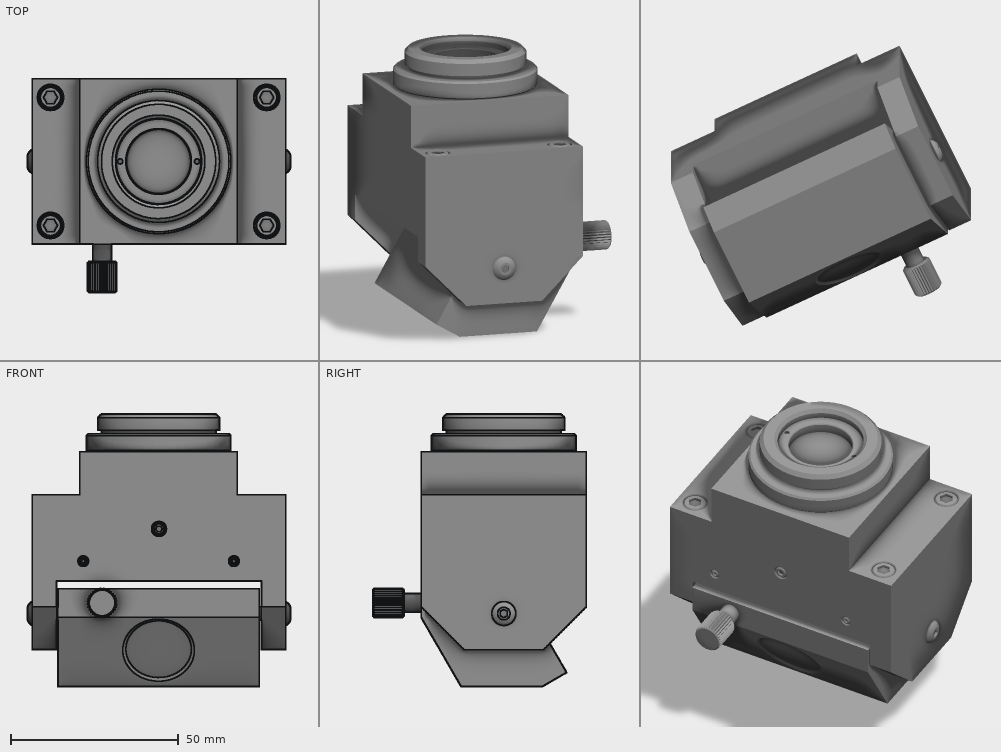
import cadquery as cq
import math


housing_width = 75.7
housing_depth = 49.35
housing_shift = 0.12
housing_bottom = 11.1
shoulder_height = 57.3
tower_width = 47.1
tower_top = 70.1
corner_cut = 12.8
slot_width = 61.1
slot_top = 31.5
front_y = -housing_depth / 2

mount_top = 81.4
flange_diameter = 43.15
flange_top = 75.5
flange_bevel = 0.6
flange_lower_bevel = 0.4
neck_diameter = 34.3
rim_diameter = 36.4
rim_bottom = 76.55
rim_bevel = 1.1
mount_bore = 25.7
mount_bore_bevel = 1.0
mount_bore_depth = 2.5
ring_edge_bevel = 0.25
window_bore = 19.1
window_bore_bevel = 0.25
window_depth = 5.5
spanner_hole_diameter = 1.55
spanner_hole_depth = 0.8
spanner_hole_radius = 11.5

screw_spacing_x = 64.5
screw_spacing_y = 38.2
middle_screw_height = 47.1
outer_screw_height = 37.45
outer_screw_spacing = 44.95
cap_screw = dict(hole=7.2, hole_bevel=0.3, head=7.0, head_bevel=0.5, socket=3.7, depth=0.8)
middle_screw = dict(hole=4.0, hole_bevel=0.25, head=3.8, head_bevel=0.4, socket=1.7, depth=0.8)
outer_screw = dict(hole=2.85, hole_bevel=0.2, head=2.6, head_bevel=0.3, socket=1.05, depth=0.8)

block_width = 60.1
block_top = 29.2
block_front_edge = 20.7
block_slope = math.radians(60)
block_thickness = 29.4
block_flat_length = 24.2
recess_diameter = 21.4
recess_floor_diameter = 19.55
recess_depth = 0.6
recess_height = 10.9

thumb_x = -16.85
thumb_z = 25.0
thumb_shaft_diameter = 5.7
thumb_shaft_depth = 6.5
knob_gap = 5.05
knob_length = 9.45
knob_diameter = 8.8
knob_root_diameter = 7.8
knob_bevel = 0.6
knob_teeth = 32

pivot_z = 21.8
pivot_head_diameter = 7.2
pivot_head_flat = 3.75
pivot_head_height = 1.4
pivot_dome_bulge = 0.2
pivot_socket = 2.2
pivot_socket_depth = 0.8
pivot_shank_diameter = 4.1
pivot_shank_depth = 6.5


def hexagon_diameter(across_flats):
    return across_flats / math.cos(math.pi / 6)


def cone_frustum(base_diameter, top_diameter, height):
    """A frustum from Z = 0 up to the given height."""
    return (
        cq.Workplane("XZ")
        .polyline([(0, 0), (base_diameter / 2, 0), (top_diameter / 2, height), (0, height)])
        .close()
        .revolve(360, (0, 0, 0), (0, 1, 0))
    )


def cylinder(diameter, bottom, top):
    return cq.Workplane("XY").workplane(offset=bottom).circle(diameter / 2).extrude(top - bottom)


def facing_front(shape):
    """Turn a shape that points up so that it points to -Y."""
    return shape.rotate((0, 0, 0), (1, 0, 0), 90)


def housing_body():
    side_walls = (
        cq.Workplane("XY")
        .box(housing_width, housing_depth, shoulder_height - housing_bottom, centered=(True, True, False))
        .edges("|X and <Z")
        .chamfer(corner_cut)
        .translate((housing_shift, 0, housing_bottom))
    )
    slot = (
        cq.Workplane("XY")
        .box(slot_width, housing_depth, slot_top - housing_bottom, centered=(True, True, False))
        .translate((housing_shift, 0, housing_bottom))
    )
    tower = (
        cq.Workplane("XY")
        .box(tower_width, housing_depth, tower_top - shoulder_height, centered=(True, True, False))
        .translate((0, 0, shoulder_height))
    )
    return side_walls.cut(slot).union(tower)


def lens_mount():
    flange = (
        cylinder(flange_diameter, tower_top, flange_top)
        .faces(">Z").chamfer(flange_bevel)
        .faces("<Z").chamfer(flange_lower_bevel)
    )
    neck = cylinder(neck_diameter, flange_top, rim_bottom)
    rim = cylinder(rim_diameter, rim_bottom, mount_top).faces(">Z").chamfer(rim_bevel)
    return flange.union(neck).union(rim)


def mount_bores():
    seat = mount_top - mount_bore_depth
    bore = cylinder(mount_bore, seat, mount_top)
    bore_bevel = cone_frustum(mount_bore, mount_bore + 2 * mount_bore_bevel, mount_bore_bevel)
    window = cylinder(window_bore, mount_top - window_depth, seat)
    window_bevel = cone_frustum(window_bore, window_bore + 2 * window_bore_bevel, window_bore_bevel)
    ring_slope = cone_frustum(mount_bore, mount_bore - 2 * ring_edge_bevel, ring_edge_bevel)
    ring_edge = (
        cylinder(mount_bore, seat - ring_edge_bevel, seat)
        .cut(ring_slope.translate((0, 0, seat - ring_edge_bevel)))
    )
    spanner_holes = (
        cq.Workplane("XY")
        .workplane(offset=seat - spanner_hole_depth)
        .pushPoints([(-spanner_hole_radius, 0), (spanner_hole_radius, 0)])
        .circle(spanner_hole_diameter / 2)
        .extrude(spanner_hole_depth)
    )
    return (
        bore
        .union(bore_bevel.translate((0, 0, mount_top - mount_bore_bevel)))
        .union(window)
        .union(window_bevel.translate((0, 0, seat - window_bore_bevel)))
        .union(ring_edge)
        .union(spanner_holes)
    )


def screw_groove(hole, hole_bevel, head, head_bevel, socket, depth):
    """The material missing around and inside a flush screw head whose top is at Z = 0."""
    hole_rim = cone_frustum(hole, hole + 2 * hole_bevel, hole_bevel).translate((0, 0, -hole_bevel))
    head_body = cylinder(head, -depth, 0).faces(">Z").chamfer(head_bevel)
    hexagon = cq.Workplane("XY").polygon(6, hexagon_diameter(socket)).extrude(-depth)
    return cylinder(hole, -depth, 0).union(hole_rim).cut(head_body).union(hexagon)


def make_housing():
    housing = housing_body().union(lens_mount()).cut(mount_bores())
    cap_groove = screw_groove(**cap_screw)
    for side_x in (-1, 1):
        for side_y in (-1, 1):
            place = (side_x * screw_spacing_x / 2, side_y * screw_spacing_y / 2, shoulder_height)
            housing = housing.cut(cap_groove.translate(place))
    middle_groove = screw_groove(**middle_screw)
    place = (housing_shift, front_y, middle_screw_height)
    housing = housing.cut(facing_front(middle_groove).translate(place))
    outer_groove = screw_groove(**outer_screw)
    for side_x in (-1, 1):
        place = (side_x * outer_screw_spacing / 2, front_y, outer_screw_height)
        housing = housing.cut(facing_front(outer_groove).translate(place))
    return housing


def make_block():
    run_per_rise = 1 / math.tan(block_slope)
    flat_front_y = front_y + block_front_edge * run_per_rise
    flat_back_y = flat_front_y + block_flat_length
    back_offset = block_thickness / math.sin(block_slope)

    def back_face_y(z):
        return flat_front_y + back_offset - z * run_per_rise

    toe_z = (back_face_y(0) - flat_back_y) / (math.tan(block_slope) + run_per_rise)
    outline = [
        (front_y, block_top),
        (front_y, block_front_edge),
        (flat_front_y, 0),
        (flat_back_y, 0),
        (back_face_y(toe_z), toe_z),
        (back_face_y(block_top), block_top),
    ]
    block = cq.Workplane("YZ").polyline(outline).close().extrude(block_width / 2, both=True)
    recess = (
        cone_frustum(recess_floor_diameter, recess_diameter, recess_depth)
        .translate((0, 0, -recess_depth))
        .rotate((0, 0, 0), (1, 0, 0), 180 - math.degrees(block_slope))
        .translate((0, flat_front_y - recess_height * run_per_rise, recess_height))
    )
    return block.cut(recess)


def make_thumbscrew():
    """Built pointing up from the block face at Z = 0, then turned to -Y."""
    tip_angle = 2 * math.pi / knob_teeth
    outline = []
    for tooth in range(knob_teeth):
        for half_step, diameter in ((0.5, knob_diameter), (1.0, knob_root_diameter)):
            angle = (tooth + half_step) * tip_angle
            outline.append((diameter / 2 * math.cos(angle), diameter / 2 * math.sin(angle)))
    toothed_bar = (
        cq.Workplane("XY").workplane(offset=knob_gap).polyline(outline).close().extrude(knob_length)
    )
    bevelled_bar = cylinder(knob_diameter, knob_gap, knob_gap + knob_length).edges().chamfer(knob_bevel)
    shaft = cylinder(thumb_shaft_diameter, -thumb_shaft_depth, knob_gap)
    thumbscrew = toothed_bar.intersect(bevelled_bar).union(shaft)
    return facing_front(thumbscrew).translate((thumb_x, front_y, thumb_z))


def make_pivot(side):
    """A button-head screw through one side wall, with side -1 for the -X wall and 1 for the +X wall."""
    wall_x = housing_shift + side * housing_width / 2
    block_side_x = side * block_width / 2
    shank_length = abs(wall_x - block_side_x) + pivot_shank_depth
    head_radius = pivot_head_diameter / 2
    flat_radius = pivot_head_flat / 2
    dome_middle = (
        (head_radius + flat_radius) / 2 + pivot_dome_bulge,
        pivot_head_height / 2 + pivot_dome_bulge,
    )
    head = (
        cq.Workplane("XZ")
        .lineTo(head_radius, 0)
        .threePointArc(dome_middle, (flat_radius, pivot_head_height))
        .lineTo(0, pivot_head_height)
        .close()
        .revolve(360, (0, 0, 0), (0, 1, 0))
    )
    socket = (
        cq.Workplane("XY")
        .workplane(offset=pivot_head_height)
        .polygon(6, hexagon_diameter(pivot_socket))
        .extrude(-pivot_socket_depth)
    )
    shank = cylinder(pivot_shank_diameter, -shank_length, 0)
    screw = head.cut(socket).union(shank)
    return screw.rotate((0, 0, 0), (0, 1, 0), side * 90).translate((wall_x, 0, pivot_z))


thumbscrew = make_thumbscrew()
pivots = [make_pivot(side) for side in (-1, 1)]
housing = make_housing()
block = make_block().cut(thumbscrew)
for pivot in pivots:
    housing = housing.cut(pivot)
    block = block.cut(pivot)

result = cq.Compound.makeCompound(
    [housing.val(), block.val(), thumbscrew.val(), *[pivot.val() for pivot in pivots]]
)